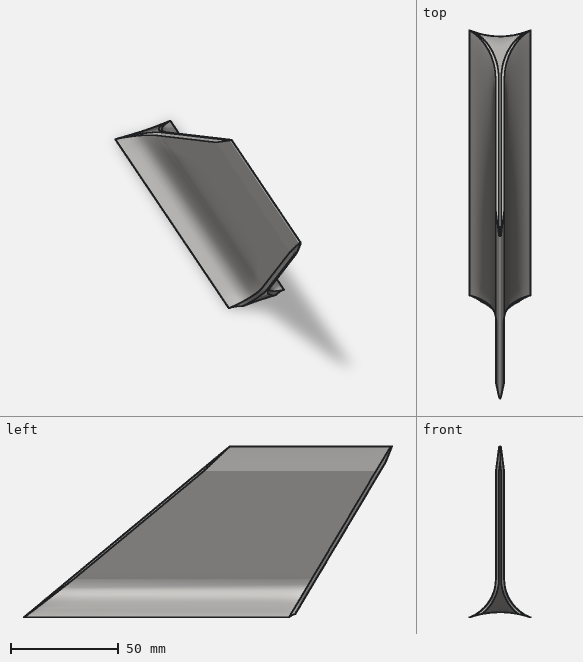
import cadquery as cq
import math

height = 79.3
half_thickness = 1.96
half_foot = 14.2
foot_height = 17.8
underside_rise = 2.4
taper_start = 67.8
half_tip = 0.5
nose_height = 0.5

leading_bottom = 170.8
leading_top = 75.3
trailing_bottom = 45.8
trailing_top = -1.4

bevel_inset = 1.45
leading_setback = 1.8
trailing_setback = 2.0
faded_share = 0.05
overlap = 0.5
arc_stations = 7

foot_spread = half_foot - half_thickness
foot_radius = (foot_spread**2 + foot_height**2) / (2 * foot_spread)
foot_angle = math.asin(foot_height / foot_radius)
nose_start = height - nose_height


def foot_point(angle):
    """Point on the concave flare; angle 0 is where it meets the flat side."""
    return (
        half_thickness + foot_radius * (1 - math.cos(angle)),
        foot_height - foot_radius * math.sin(angle),
    )


def mirrored(point):
    return (-point[0], point[1])


def make_blank():
    """Full cross-section extruded along Y, trimmed to the swept outline."""
    foot_middle = foot_point(foot_angle / 2)
    section = (
        cq.Workplane("XZ")
        .moveTo(half_foot, 0)
        .threePointArc(foot_middle, (half_thickness, foot_height))
        .lineTo(half_thickness, taper_start)
        .lineTo(half_tip, nose_start)
        .threePointArc((0, height), (-half_tip, nose_start))
        .lineTo(-half_thickness, taper_start)
        .lineTo(-half_thickness, foot_height)
        .threePointArc(mirrored(foot_middle), (-half_foot, 0))
        .threePointArc((0, underside_rise), (half_foot, 0))
        .close()
        .extrude(leading_bottom, both=True)
    )
    outline = (
        cq.Workplane("YZ")
        .polyline([
            (trailing_bottom, 0),
            (leading_bottom, 0),
            (leading_top, height),
            (trailing_top, height),
        ])
        .close()
        .extrude(half_foot, both=True)
    )
    return section.intersect(outline)


def bevel_cutter(bottom, top, setback, end_share):
    """Cutter for the +X bevel of an end plane; a negative setback points to -Y."""

    def triangle(point, slope_angle, share):
        def place(depth, inset):
            x = point[0] - inset * math.cos(slope_angle)
            z = point[1] - inset * math.sin(slope_angle)
            y = bottom + (top - bottom) * z / height + depth
            return cq.Vector(x, y, z)

        depth = setback * share
        inset = bevel_inset * share
        corners = [
            place(-depth * overlap, inset * (1 + overlap)),
            place(depth * (1 + overlap), -inset * overlap),
            place(-depth * overlap, -inset * overlap),
        ]
        return cq.Wire.makePolygon(corners, close=True)

    foot_sections = []
    for station in range(arc_stations):
        fraction = station / (arc_stations - 1)
        share = 1 + (end_share - 1) * fraction
        angle = foot_angle * fraction
        foot_sections.append(triangle(foot_point(angle), angle, share))

    taper_section = triangle((half_thickness, taper_start), 0, 1)
    top_section = triangle((half_tip, height), 0, end_share)
    foot = cq.Solid.makeLoft(foot_sections)
    side = cq.Solid.makeLoft([foot_sections[0], taper_section], True)
    tip = cq.Solid.makeLoft([taper_section, top_section], True)
    return [foot, side, tip]


result = make_blank()
cutters = bevel_cutter(leading_bottom, leading_top, -leading_setback, faded_share)
cutters += bevel_cutter(trailing_bottom, trailing_top, trailing_setback, 1)
for cutter in cutters:
    result = result.cut(cq.Workplane(cutter))
    result = result.cut(cq.Workplane(cutter.mirror("YZ")))